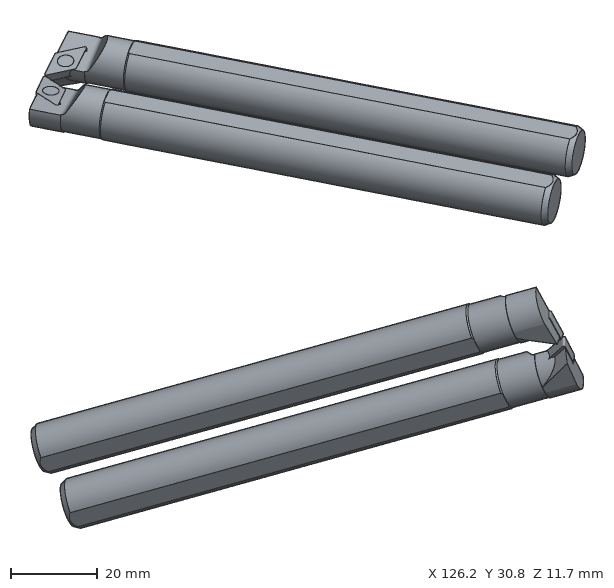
import cadquery as cq
import math


total_length = 126.2
tip_x = -total_length / 2
rear_x = total_length / 2
total_width = 30.8

shank_diameter = 12.0
axis_y = (total_width - shank_diameter) / 2
across_flats = 11.0
rear_chamfer_length = 1.4
rear_chamfer_depth = 0.8
shoulder_chamfer_length = 0.4

neck_diameter = 11.6
neck_x = tip_x + 8.7
shank_x = tip_x + 18.0
head_x = tip_x + 0.4
block_top_z = 2.5
head_bottom_z = -5.9
clearance_top_y = 0.8
clearance_bottom_y = 3.2

seat_tilt = 7.0
ramp_x = tip_x + 9.3
ramp_angle = 58.0
ramp_fillet = 1.5
cut_height = 10.1
cut_front_x = tip_x - 1.3
cut_width = 37.9

insert_width = 6.3
insert_thickness = 2.4
insert_angle = 55.0
insert_relief = 7.0
nose_radius = 0.4
post_diameter = 3.8
nose_y = 0.6
lead_angle = 3.0
corner_relief_radius = 0.6

insert_side = insert_width / math.sin(math.radians(insert_angle))
insert_lean = insert_width / math.tan(math.radians(insert_angle))
insert_tip_y = -nose_radius / math.tan(math.radians(insert_angle / 2))


def tilted(shape):
    """Turn a shape from the seat frame into the frame of the bar."""
    return shape.rotate((0, 0, 0), (1, 0, 0), seat_tilt)


def make_bar_blank():
    """Turned bar: head, thinner neck, and chamfered shank."""
    shank_radius = shank_diameter / 2
    neck_radius = neck_diameter / 2
    profile = [
        (head_x, 0),
        (head_x, shank_radius),
        (neck_x, shank_radius),
        (neck_x, neck_radius),
        (shank_x, neck_radius),
        (shank_x + shoulder_chamfer_length, shank_radius),
        (rear_x - rear_chamfer_length, shank_radius),
        (rear_x, shank_radius - rear_chamfer_depth),
        (rear_x, 0),
    ]
    blank = cq.Workplane("XY").polyline(profile).close().revolve(360, (0, 0, 0), (1, 0, 0))
    return blank.translate((0, axis_y, 0))


def make_shank_flats():
    """Material outside the upper and lower flats of the shank."""
    length = rear_x - shank_x
    middle_x = (rear_x + shank_x) / 2
    envelope = cq.Workplane("XY").box(length, 2 * shank_diameter, 2 * shank_diameter)
    core = cq.Workplane("XY").box(length, 2 * shank_diameter, across_flats)
    return envelope.cut(core).translate((middle_x, axis_y, 0))


def make_bottom_cut():
    """Material below the flat bottom of the head."""
    depth = shank_diameter / 2
    cut = cq.Workplane("XY").box(neck_x - head_x, shank_diameter, depth, centered=(False, True, False))
    return cut.translate((head_x, axis_y, head_bottom_z - depth))


def make_head_block():
    """Part of the head that reaches inward below the insert, its flank parallel to the insert edge."""
    clearance_slope = (clearance_bottom_y - clearance_top_y) / head_bottom_z
    section = [
        (clearance_top_y + clearance_slope * block_top_z, block_top_z),
        (clearance_bottom_y, head_bottom_z),
        (axis_y, head_bottom_z),
        (axis_y, block_top_z),
    ]
    length = neck_x - head_x
    sideways = length / math.tan(math.radians(insert_angle + lead_angle))
    outline = cq.Wire.makePolygon([cq.Vector(head_x, y, z) for y, z in section], close=True)
    block = cq.Workplane(cq.Solid.extrudeLinear(outline, [], cq.Vector(length, sideways, 0)))
    outer_side = cq.Workplane("XY").box(total_length, cut_width, cut_width, centered=(True, False, True))
    return block.cut(outer_side.translate((0, axis_y, 0)))


def make_front_cut():
    """Space ahead of the front face, which falls back by the lead angle toward the outside."""
    depth = 2 * shank_diameter
    cut = cq.Workplane("XY").box(depth, cut_width, cut_width).translate((-depth / 2, 0, 0))
    return cut.rotate((0, 0, 0), (0, 0, 1), -lead_angle).translate((head_x, 0, 0))


def make_seat_cut():
    """Space above the seat face, bounded behind by the filleted ramp."""
    ramp_run = cut_height / math.tan(math.radians(ramp_angle))
    profile = [
        (cut_front_x, 0),
        (ramp_x, 0),
        (ramp_x + ramp_run, cut_height),
        (cut_front_x, cut_height),
    ]
    cut = cq.Workplane("XZ").polyline(profile).close().extrude(cut_width / 2, both=True)
    ramp_foot = cq.selectors.NearestToPointSelector((ramp_x, 0, 0))
    return tilted(cut.edges(ramp_foot).fillet(ramp_fillet))


def seated(shape):
    """Place a shape drawn around the centre of the insert nose onto the tilted seat."""
    turned = shape.rotate((0, 0, 0), (0, 0, 1), -lead_angle)
    return tilted(turned.translate((tip_x + nose_radius, nose_y, 0)))


def make_insert_body():
    """Rhombic insert without its hole, its flanks tapering inward below the top face."""
    front_x = -nose_radius
    back_x = front_x + insert_width
    outline = [
        (front_x, insert_tip_y),
        (back_x, insert_tip_y + insert_lean),
        (back_x, insert_tip_y + insert_lean + insert_side),
        (front_x, insert_tip_y + insert_side),
    ]
    body = cq.Workplane("XY").polyline(outline).close().extrude(-insert_thickness, taper=insert_relief)
    return seated(body.edges("not #Z").fillet(nose_radius))


def make_post():
    """Round post of the holder that fills the hole of the insert."""
    centre_x = insert_width / 2 - nose_radius
    centre_y = insert_tip_y + (insert_lean + insert_side) / 2
    post = cq.Workplane("XY").center(centre_x, centre_y).circle(post_diameter / 2)
    return seated(post.extrude(-insert_thickness))


def make_corner_relief():
    """Round relief in the pocket around the rear acute corner of the insert."""
    centre_x = insert_width - nose_radius - corner_relief_radius / 2
    centre_y = insert_tip_y + insert_lean + insert_side - 2 * corner_relief_radius
    relief = cq.Workplane("XY").center(centre_x, centre_y).circle(corner_relief_radius)
    return seated(relief.extrude(-insert_thickness))


def make_holder():
    holder = make_bar_blank().cut(make_shank_flats()).cut(make_bottom_cut())
    holder = holder.union(make_head_block())
    holder = holder.cut(make_front_cut())
    holder = holder.cut(make_seat_cut())
    holder = holder.cut(make_insert_body()).cut(make_corner_relief())
    return holder.union(make_post())


def make_insert():
    return make_insert_body().cut(make_post())


bodies = []
for make_body in (make_holder, make_insert):
    body = make_body()
    bodies.append(body.val())
    bodies.append(body.mirror("XZ").val())

result = cq.Compound.makeCompound(bodies)